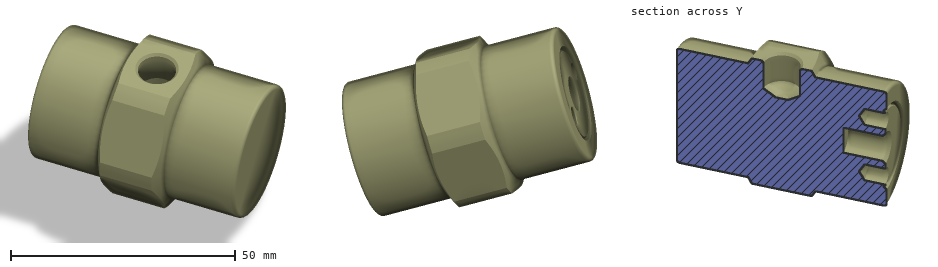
import cadquery as cq
import math

length = 50.0
body_dia = 31.0
edge_round = 0.85

collar_width = 16.0
across_flats = 34.0
collar_dia = 37.1
collar_chamfer_angle = 30.0
hexagon_turn = 30.0

bore_mouth_dia = 22.0
plug_dia = 20.5
plug_face_dia = 19.6
groove_depth = (bore_mouth_dia - plug_dia) / 2
plug_recess = groove_depth - (plug_dia - plug_face_dia) / 2
center_hole_dia = 6.65
center_hole_chamfer = 0.75
center_hole_depth = 10.0
spanner_hole_dia = 4.2
spanner_hole_offset = 7.5
spanner_hole_depth = 5.0

port_dia = 8.55
port_mouth_dia = 9.7
port_depth = 7.5
port_floor_dia = 2.95

drill_tip_angle = 118.0


def tip_length(large_dia, small_dia=0.0):
    """Axial length of a drill-point cone between two diameters."""
    return (large_dia - small_dia) / 2 / math.tan(math.radians(drill_tip_angle / 2))


def revolve_about_x(points):
    """Solid of revolution from (x, radius) points."""
    return cq.Workplane("XY").polyline(points).close().revolve(360, (0, 0, 0), (1, 0, 0))


def make_body():
    body = cq.Workplane("YZ").circle(body_dia / 2).extrude(length)
    return body.edges("%CIRCLE").fillet(edge_round)


def make_collar():
    start = (length - collar_width) / 2
    end = start + collar_width
    body_radius = body_dia / 2
    collar_radius = collar_dia / 2
    chamfer_length = (collar_radius - body_radius) * math.tan(math.radians(collar_chamfer_angle))
    hexagon = (
        cq.Workplane("YZ", origin=(start, 0, 0))
        .polygon(6, across_flats, circumscribed=True)
        .extrude(collar_width)
        .rotate((0, 0, 0), (1, 0, 0), hexagon_turn)
    )
    envelope = revolve_about_x([
        (start, 0),
        (start, body_radius),
        (start + chamfer_length, collar_radius),
        (end - chamfer_length, collar_radius),
        (end, body_radius),
        (end, 0),
    ])
    return hexagon.intersect(envelope)


def make_plug_recess():
    """Shallow recess over the plug face, with a V-groove between bore mouth and plug rim."""
    return revolve_about_x([
        (0, 0),
        (plug_recess, 0),
        (plug_recess, plug_face_dia / 2),
        (groove_depth, plug_dia / 2),
        (0, bore_mouth_dia / 2),
    ])


def make_center_hole():
    radius = center_hole_dia / 2
    return revolve_about_x([
        (0, 0),
        (0, radius + center_hole_chamfer),
        (center_hole_chamfer, radius),
        (center_hole_depth, radius),
        (center_hole_depth, 0),
    ]).translate((plug_recess, 0, 0))


def make_spanner_hole(height):
    radius = spanner_hole_dia / 2
    hole = revolve_about_x([
        (0, 0),
        (0, radius),
        (spanner_hole_depth, radius),
        (spanner_hole_depth + tip_length(spanner_hole_dia), 0),
    ])
    return hole.translate((plug_recess, 0, height))


def make_port():
    top = across_flats / 2
    mouth_chamfer = (port_mouth_dia - port_dia) / 2
    floor = top - port_depth
    tip = floor - tip_length(port_dia, port_floor_dia)
    profile = cq.Workplane("XZ").polyline([
        (0, top),
        (port_mouth_dia / 2, top),
        (port_dia / 2, top - mouth_chamfer),
        (port_dia / 2, floor),
        (port_floor_dia / 2, tip),
        (0, tip),
    ]).close()
    return profile.revolve(360, (0, 0, 0), (0, 1, 0)).translate((length / 2, 0, 0))


result = make_body().union(make_collar())
result = result.cut(make_plug_recess()).cut(make_center_hole()).cut(make_port())
for side in (1, -1):
    result = result.cut(make_spanner_hole(side * spanner_hole_offset))